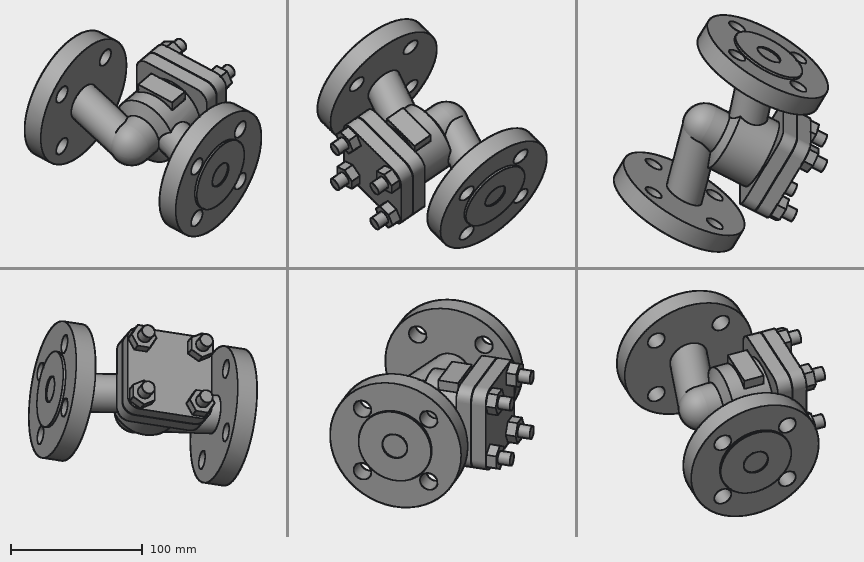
import cadquery as cq
import math

face_to_face = 150.0

flange_diameter = 105.0
flange_thickness = 15.8
raised_face_diameter = 58.0
raised_face_height = 2.0
bolt_circle_diameter = 75.0
bolt_hole_diameter = 14.0
bolt_hole_count = 4
first_bolt_angle = 45
port_diameter = 20.0
port_depth = 1.0

pipe_diameter = 29.2
inlet_slope = 15.6
outlet_slope = 18.0

chamber_diameter = 55.2
chamber_floor_y = 3.2
neck_diameter = 33.9
neck_top_y = -1.6
dome_center_y = -14.0

plate_width = 68.0
plate_corner_radius = 10.0
body_plate_y = 35.2
joint_y = 47.0
gasket_thickness = 0.5
gasket_inset = 0.2
bonnet_top_y = 58.8

stud_diameter = 10.2
stud_spacing = 47.0
stud_count = 4
stud_end_y = 76.4
nut_corner_diameter = 20.1
nut_top_y = 66.8

pad_length = 32.7
pad_bottom_y = 15.0
pad_top_y = 30.9
pad_face_z = 30.3

flange_back_x = face_to_face / 2 - raised_face_height - flange_thickness


def plane_at_y(y, x=0, z=0):
    """Plane facing +Y, with its local axes along +X and -Z."""
    return cq.Workplane(cq.Plane((x, y, z), xDir=(1, 0, 0), normal=(0, 1, 0)))


def pipe_flange(side):
    """Flange at the +X end (side = 1) or the -X end (side = -1)."""
    back = cq.Plane((side * flange_back_x, 0, 0), xDir=(0, 1, 0), normal=(side, 0, 0))
    disc = cq.Workplane(back).circle(flange_diameter / 2).extrude(flange_thickness)
    holes = (
        cq.Workplane(back)
        .polarArray(bolt_circle_diameter / 2, first_bolt_angle, 360, bolt_hole_count)
        .circle(bolt_hole_diameter / 2)
        .extrude(flange_thickness)
    )
    total_thickness = flange_thickness + raised_face_height
    raised_face = cq.Workplane(back).circle(raised_face_diameter / 2).extrude(total_thickness)
    port = (
        cq.Workplane(back)
        .workplane(offset=total_thickness - port_depth)
        .circle(port_diameter / 2)
        .extrude(port_depth)
    )
    return disc.union(raised_face).cut(holes).cut(port)


def sloping_pipe(side, rise_angle):
    """Pipe from inside a flange to the X = 0 plane, rising by rise_angle (degrees) toward +Y."""
    angle = math.radians(rise_angle)
    direction = cq.Vector(-side * math.cos(angle), math.sin(angle), 0)
    start = cq.Vector(side * flange_back_x, 0, 0)
    overlap = flange_thickness / 2
    length = flange_back_x / math.cos(angle) + overlap
    return cq.Workplane(
        cq.Solid.makeCylinder(pipe_diameter / 2, length, start - direction * overlap, direction)
    )


def valve_body():
    """Chamber, conical floor, neck and domed end as one revolved profile."""
    chamber_radius = chamber_diameter / 2
    neck_radius = neck_diameter / 2
    dome_reach = neck_radius * math.sqrt(0.5)
    return (
        cq.Workplane("XY")
        .moveTo(0, body_plate_y)
        .lineTo(chamber_radius, body_plate_y)
        .lineTo(chamber_radius, chamber_floor_y)
        .lineTo(neck_radius, neck_top_y)
        .lineTo(neck_radius, dome_center_y)
        .threePointArc(
            (dome_reach, dome_center_y - dome_reach),
            (0, dome_center_y - neck_radius),
        )
        .close()
        .revolve(360, (0, 0, 0), (0, 1, 0))
    )


def square_plate(bottom_y, top_y, inset=0):
    """Square plate with rounded corners, drawn in from the full outline by inset."""
    width = plate_width - 2 * inset
    return (
        plane_at_y(bottom_y)
        .rect(width, width)
        .extrude(top_y - bottom_y)
        .edges("|Y")
        .fillet(plate_corner_radius - inset)
    )


def bonnet_joint():
    gasket_top_y = joint_y + gasket_thickness
    body_plate = square_plate(body_plate_y, joint_y)
    gasket = square_plate(joint_y, gasket_top_y, gasket_inset)
    bonnet_plate = square_plate(gasket_top_y, bonnet_top_y)
    return body_plate.union(gasket).union(bonnet_plate)


def stud_and_nut(turn_angle):
    """Stud and nut of one bonnet corner, turned about the Y axis as a pair."""
    offset = stud_spacing / 2
    corner = plane_at_y(bonnet_top_y, offset, offset)
    nut = corner.polygon(6, nut_corner_diameter).extrude(nut_top_y - bonnet_top_y)
    stud = corner.circle(stud_diameter / 2).extrude(stud_end_y - bonnet_top_y)
    return nut.union(stud).rotate((0, 0, 0), (0, 1, 0), turn_angle)


def name_plate_pad():
    return (
        cq.Workplane("XY")
        .center(0, (pad_bottom_y + pad_top_y) / 2)
        .rect(pad_length, pad_top_y - pad_bottom_y)
        .extrude(pad_face_z)
    )


result = valve_body().union(bonnet_joint()).union(name_plate_pad())
result = result.union(sloping_pipe(-1, -inlet_slope)).union(sloping_pipe(1, outlet_slope))
for end in (-1, 1):
    result = result.union(pipe_flange(end))
for turn in range(stud_count):
    result = result.union(stud_and_nut(turn * 360 / stud_count))